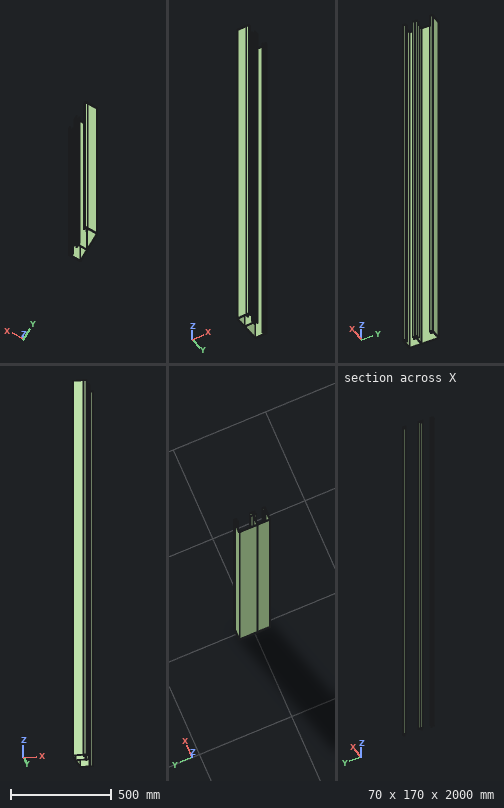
import cadquery as cq

OVERALL_HEIGHT = 2000.0
DEPTH = 70.0
WIDTH = 170.0

BACK_WALL = 2.5
FLANGE = 3.5
PARTITION = 2.0
PARTITION_Y = -15.5
CORNER_RADIUS = 3.0

INNER_LIP_X = 18.5
INNER_LIP = 1.5
INNER_LIP_REACH = 14.5
OUTER_LIP = 1.5
OUTER_LIP_REACH = 12.0

STRIP_SIDE = 2.0
STRIP_Y = -70.0
STRIP_PROTRUSION = 3.0

BACK_X = -DEPTH / 2
FRONT_X = DEPTH / 2
SIDE_Y = WIDTH / 2
TOP_Z = OVERALL_HEIGHT / 2
STRIP_BOTTOM_Z = -OVERALL_HEIGHT / 2
PROFILE_BOTTOM_Z = STRIP_BOTTOM_Z + STRIP_PROTRUSION


def upright_bar(x_range, y_range, bottom_z):
    """Rectangular bar that runs from bottom_z up to the top end."""
    x_min, x_max = x_range
    y_min, y_max = y_range
    return (
        cq.Workplane("XY")
        .box(x_max - x_min, y_max - y_min, TOP_Z - bottom_z, centered=False)
        .translate((x_min, y_min, bottom_z))
    )


def flange_with_lips(y_min, y_max, lip_directions):
    """Flange across the full depth, with a lip pair on each listed side (+1 or -1 along Y)."""
    flange = upright_bar((BACK_X, FRONT_X), (y_min, y_max), PROFILE_BOTTOM_Z)
    lips = (
        ((INNER_LIP_X, INNER_LIP_X + INNER_LIP), INNER_LIP_REACH),
        ((FRONT_X - OUTER_LIP, FRONT_X), OUTER_LIP_REACH),
    )
    for direction in lip_directions:
        for x_range, reach in lips:
            y_range = (y_min, y_max + reach) if direction > 0 else (y_min - reach, y_max)
            flange = flange.union(upright_bar(x_range, y_range, PROFILE_BOTTOM_Z))
    return flange


def round_outer_corners(profile):
    """Fillet the four long outer corner edges."""
    margin = 0.2
    for x in (BACK_X, FRONT_X):
        for y in (-SIDE_Y, SIDE_Y):
            corner = cq.selectors.BoxSelector(
                (x - margin, y - margin, -OVERALL_HEIGHT),
                (x + margin, y + margin, OVERALL_HEIGHT),
            )
            profile = profile.edges(corner).edges("|Z").fillet(CORNER_RADIUS)
    return profile


def make_profile():
    back_wall = upright_bar((BACK_X, BACK_X + BACK_WALL), (-SIDE_Y, SIDE_Y), PROFILE_BOTTOM_Z)
    left_flange = flange_with_lips(SIDE_Y - FLANGE, SIDE_Y, (-1,))
    right_flange = flange_with_lips(-SIDE_Y, -SIDE_Y + FLANGE, (1,))
    partition = flange_with_lips(PARTITION_Y - PARTITION / 2, PARTITION_Y + PARTITION / 2, (-1, 1))
    return round_outer_corners(back_wall.union(left_flange).union(right_flange).union(partition))


def make_strip():
    """Strip that rests against the slot face of the inner lip."""
    slot_face_x = INNER_LIP_X + INNER_LIP
    return upright_bar(
        (slot_face_x, slot_face_x + STRIP_SIDE),
        (STRIP_Y - STRIP_SIDE / 2, STRIP_Y + STRIP_SIDE / 2),
        STRIP_BOTTOM_Z,
    )


profile = make_profile()
strip = make_strip()
result = cq.Compound.makeCompound([profile.val(), strip.val()])